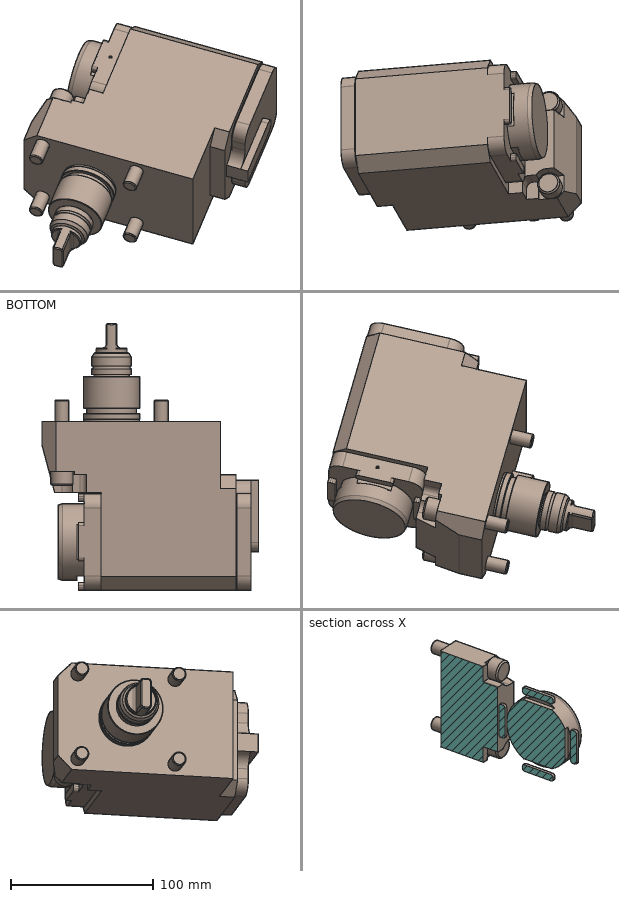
import cadquery as cq
import math


height = 78.0
half_height = height / 2
corner_chamfer = 9.8
base_left = -49.0
base_right = 76.8
base_top = 50.1
body_left = -7.3
body_right = 87.7
body_bottom = 37.4
body_top = 118.9
slant_start = 16.7
slant_angle = 15

bolt_left_x = -35.0
bolt_right_x = 35.0
bolt_z = 31.0
bolt_diameter = 10.0
bolt_end = -15.2
bolt_tip_chamfer = 0.8
head_diameter = 16.0
head_seat = 35.1
head_height = 10.0
head_chamfer = 1.1

recess_radius = 8.8
step_right = -17.7
step_floor_z = 26.3
step_fillet = 4.5

plate_size = 68.2
plate_center_y = body_top - plate_size / 2
plate_fillet = 10.1
left_plate_face = -19.3
right_plate_face = 98.2
plate_gap = 0.5
plate_gap_depth = 0.5
pin_hole_x = -13.7
pin_hole_diameter = 2.0
pin_hole_depth = 1.9

disc_diameter = 54.0
disc_face = -37.5
disc_cone_length = 3.0
disc_cone_inset = 1.0
notch_front = -24.5
notch_offset = 24.0
key_face = -23.3
key_length = 27.0
key_width = 5.6
key_fillet = 2.0

tongue_width = 13.1
tongue_bottom = 41.3
tongue_top = 91.8
tongue_face = 103.5

relief_radius = 39.5 / 2
sleeve_radius = 39.8 / 2
sleeve_groove_radius = 35.1 / 2
neck_radius = 25.0 / 2
shaft_radius = 28.0 / 2
shaft_groove_depth = 1.0
tang_radius = 22.0 / 2
relief_end = -1.3
collar_end = -5.5
sleeve_chamfer = 0.4
sleeve_start = -9.2
sleeve_end = -31.7
shaft_start = -32.9
shaft_groove_start = -37.0
shaft_groove_end = -39.0
shaft_cone_start = -45.3
shaft_cone_end = -47.7
tang_start = -48.6
shoulder_end = -51.8
shoulder_chamfer = 0.8
overall_length = 187.8
spindle_end = body_top - overall_length

tang_thickness = 7.9
tang_edge_chamfer_x = 1.1
tang_edge_chamfer_z = 2.0
tang_end_chamfer = 1.0
tang_root_fillet = 2.0


def box(x_min, x_max, y_min, y_max, z_min, z_max):
    size = (x_max - x_min, y_max - y_min, z_max - z_min)
    return cq.Workplane("XY").box(*size, centered=False).translate((x_min, y_min, z_min))


def cylinder_y(x, z, radius, y_min, y_max):
    return cq.Workplane("XZ", origin=(x, y_max, z)).circle(radius).extrude(y_max - y_min)


def on_both_sides(upper):
    """Add the mirror image of a shape below Z = 0."""
    return upper.union(upper.mirror("XY"))


def housing():
    base = box(base_left, base_right, 0, base_top, -half_height, half_height)
    base = base.edges("|Y and <X").chamfer(corner_chamfer)
    body = box(body_left, body_right, body_bottom, body_top, -half_height, half_height)
    body = body.edges("|X").chamfer(corner_chamfer)
    slant_depth = (base_top - slant_start) * math.tan(math.radians(slant_angle))
    slant = (
        cq.Workplane("XY", origin=(0, 0, -half_height))
        .moveTo(base_left, slant_start)
        .lineTo(base_left, base_top)
        .lineTo(base_left + slant_depth, base_top)
        .close()
        .extrude(height)
    )
    return base.cut(slant).union(body)


def bolt_recess():
    """Recess open upwards and to the left, with a shallower step on its right."""
    round_part = cylinder_y(bolt_left_x, bolt_z, recess_radius, head_seat, base_top)
    left_part = box(base_left, bolt_left_x, head_seat, base_top, bolt_z - recess_radius, half_height)
    upper_part = box(bolt_left_x, bolt_left_x + recess_radius, head_seat, base_top, bolt_z, half_height)
    step = box(bolt_left_x, step_right, body_bottom, base_top, step_floor_z, half_height)
    step = step.edges("|Y and >X and <Z").fillet(step_fillet)
    return on_both_sides(round_part.union(left_part).union(upper_part).union(step))


def bolts():
    left = cylinder_y(bolt_left_x, bolt_z, bolt_diameter / 2, bolt_end, head_seat)
    right = cylinder_y(bolt_right_x, bolt_z, bolt_diameter / 2, bolt_end, body_bottom)
    shanks = left.union(right).faces("<Y").chamfer(bolt_tip_chamfer)
    head = cylinder_y(bolt_left_x, bolt_z, head_diameter / 2, head_seat, head_seat + head_height)
    head = head.faces(">Y").chamfer(head_chamfer)
    return on_both_sides(shanks.union(head))


def side_plate(x_min, x_max, inset=0):
    half = plate_size / 2 - inset
    plate = box(x_min, x_max, plate_center_y - half, plate_center_y + half, -half, half)
    return plate.edges("|X").fillet(plate_fillet)


def output_disc():
    rim_radius = disc_diameter / 2
    disc = (
        cq.Workplane("YZ", origin=(left_plate_face, plate_center_y, 0))
        .circle(rim_radius)
        .extrude(disc_face - left_plate_face)
        .faces("<X")
        .chamfer(disc_cone_length, disc_cone_inset)
    )
    notch = box(notch_front, left_plate_face, notch_offset, rim_radius, -rim_radius, rim_radius)
    for angle in (0, 90, -90):
        turned = notch.rotate((0, 0, 0), (1, 0, 0), angle)
        disc = disc.cut(turned.translate((0, plate_center_y, 0)))
    return disc


def keys():
    outer = plate_size / 2
    key = box(key_face, left_plate_face, outer - key_width, outer, -key_length / 2, key_length / 2)
    key = key.edges("|X").fillet(key_fillet)
    ring = cq.Workplane("XY")
    for quarter in range(4):
        ring = ring.add(key.rotate((0, 0, 0), (1, 0, 0), 90 * quarter))
    return ring.combine().translate((0, plate_center_y, 0))


def tongue():
    half_width = tongue_width / 2
    bar = box(body_right, tongue_face, tongue_bottom, tongue_top - half_width, -half_width, half_width)
    end = (
        cq.Workplane("YZ", origin=(body_right, tongue_top - half_width, 0))
        .circle(half_width)
        .extrude(tongue_face - body_right)
    )
    plate_bottom = plate_center_y - plate_size / 2
    web = box(body_right, right_plate_face, tongue_bottom, plate_bottom, 0, half_width + plate_fillet)
    hollow = (
        cq.Workplane("YZ", origin=(body_right, plate_bottom - plate_fillet, half_width + plate_fillet))
        .circle(plate_fillet)
        .extrude(right_plate_face - body_right)
    )
    return bar.union(end).union(on_both_sides(web.cut(hollow)))


def spindle():
    groove_middle = (shaft_groove_start + shaft_groove_end) / 2
    return (
        cq.Workplane("XY")
        .moveTo(0, 0)
        .lineTo(relief_radius, 0)
        .lineTo(relief_radius, relief_end)
        .lineTo(sleeve_radius, relief_end - sleeve_chamfer)
        .lineTo(sleeve_radius, collar_end + sleeve_chamfer)
        .lineTo(sleeve_radius - sleeve_chamfer, collar_end)
        .lineTo(sleeve_groove_radius, collar_end)
        .lineTo(sleeve_groove_radius, sleeve_start)
        .lineTo(sleeve_radius - sleeve_chamfer, sleeve_start)
        .lineTo(sleeve_radius, sleeve_start - sleeve_chamfer)
        .lineTo(sleeve_radius, sleeve_end + sleeve_chamfer)
        .lineTo(sleeve_radius - sleeve_chamfer, sleeve_end)
        .lineTo(neck_radius, sleeve_end)
        .lineTo(neck_radius, shaft_start)
        .lineTo(shaft_radius, shaft_start)
        .lineTo(shaft_radius, shaft_groove_start)
        .threePointArc(
            (shaft_radius - shaft_groove_depth, groove_middle),
            (shaft_radius, shaft_groove_end),
        )
        .lineTo(shaft_radius, shaft_cone_start)
        .lineTo(neck_radius, shaft_cone_end)
        .lineTo(tang_radius, tang_start)
        .lineTo(tang_radius, shoulder_end + shoulder_chamfer)
        .lineTo(tang_radius - shoulder_chamfer, shoulder_end)
        .lineTo(0, shoulder_end)
        .close()
        .revolve(360, (0, 0, 0), (0, 1, 0))
    )


def tang():
    half = tang_thickness / 2
    flat_end_z = tang_radius - tang_edge_chamfer_z
    edge_x = half - tang_edge_chamfer_x
    quarter = [(edge_x, tang_radius), (half, flat_end_z)]
    right_side = quarter + [(x, -z) for x, z in reversed(quarter)]
    outline = right_side + [(-x, -z) for x, z in right_side]
    blade = cq.Workplane("XZ", origin=(0, tang_start, 0)).polyline(outline).close()
    blade = blade.extrude(tang_start - spindle_end)
    blade = blade.faces("<Y").chamfer(tang_end_chamfer)
    root_width = half + tang_root_fillet
    root_end = shoulder_end - tang_root_fillet
    root = box(0, root_width, root_end, shoulder_end, -tang_radius, tang_radius)
    hollow = (
        cq.Workplane("XY", origin=(root_width, root_end, -tang_radius))
        .circle(tang_root_fillet)
        .extrude(2 * tang_radius)
    )
    root = root.cut(hollow)
    blade = blade.union(root).union(root.mirror("YZ"))
    return blade.intersect(cylinder_y(0, 0, tang_radius, spindle_end, tang_start))


pin_hole = (
    cq.Workplane("XY", origin=(pin_hole_x, plate_center_y, plate_size / 2))
    .circle(pin_hole_diameter / 2)
    .extrude(-pin_hole_depth)
)

result = housing().cut(bolt_recess())
result = result.union(side_plate(left_plate_face, body_left)).cut(pin_hole)
right_plate_back = body_right + plate_gap
result = result.union(side_plate(body_right, right_plate_back, plate_gap_depth))
result = result.union(side_plate(right_plate_back, right_plate_face))
for feature in (bolts(), output_disc(), keys(), tongue(), spindle(), tang()):
    result = result.union(feature)